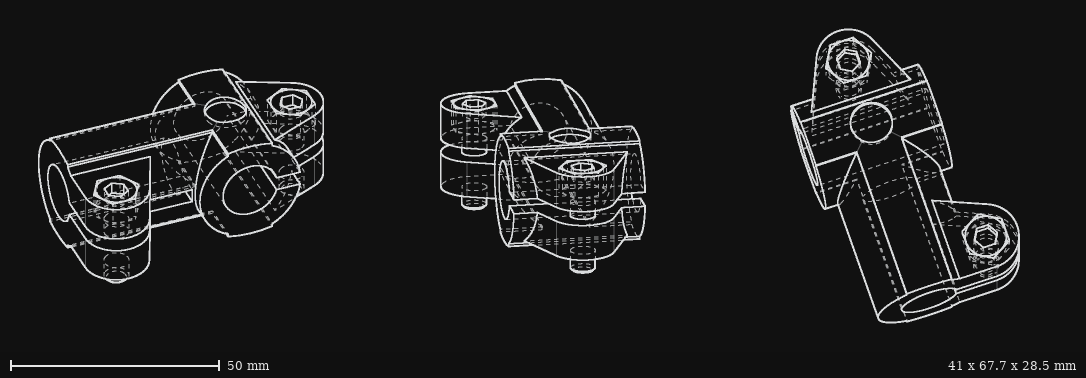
import cadquery as cq
import math

tube_radius = 13.0
bore_diameter = 14.0
cross_length = 32.0
stem_end = 43.0
stem_bore_floor = 13.75

crown_half_width = 5.7
crown_edge_height = 12.4

cross_lug_radius = 7.7
stem_lug_radius = 8.0
lug_reach = 17.0
lug_half_height = 10.5
slot_width = 3.5
cross_lug_base = cross_length / 2
stem_lug_base = 15.8

screw_diameter = 6.0
screw_tip_z = -15.5
screw_tip_chamfer = 0.6
head_diameter = 9.9
head_height = 6.0
pocket_across_flats = 10.0
socket_across_flats = 5.0
socket_depth = 3.0
pocket_turn = 0
socket_turn = 30

recess_diameter = 10.0
recess_floor_z = 11.45


def tube(plane, length):
    """Solid tube blank with crowns, extruded along the plane's normal."""
    barrel = cq.Workplane(plane).circle(tube_radius).extrude(length)
    crown = (
        cq.Workplane(plane)
        .moveTo(-crown_half_width, -crown_edge_height)
        .lineTo(-crown_half_width, crown_edge_height)
        .threePointArc((0, tube_radius), (crown_half_width, crown_edge_height))
        .lineTo(crown_half_width, -crown_edge_height)
        .threePointArc((0, -tube_radius), (-crown_half_width, -crown_edge_height))
        .close()
        .extrude(length)
    )
    return barrel.union(crown)


def tangent_point(base, radius):
    """Where a line from (base, 0) touches the right-hand side of the lug's round end."""
    distance = math.hypot(base, lug_reach)
    angle = math.acos(radius / distance) - math.atan2(lug_reach, base)
    return radius * math.cos(angle), lug_reach + radius * math.sin(angle)


def lug(left_base, right_base, radius):
    """Lug pointing along +Y, with straight sides tangent to its round end."""
    left_x, left_y = tangent_point(left_base, radius)
    return (
        cq.Workplane("XY")
        .workplane(offset=-lug_half_height)
        .moveTo(-left_base, 0)
        .lineTo(right_base, 0)
        .lineTo(*tangent_point(right_base, radius))
        .threePointArc((0, lug_reach + radius), (-left_x, left_y))
        .close()
        .extrude(2 * lug_half_height)
    )


def hex_prism(across_flats, depth, turn):
    """Hexagonal prism on the screw axis, reaching down from the top of the lug."""
    across_corners = across_flats / math.cos(math.pi / 6)
    return (
        cq.Workplane("XY")
        .polygon(6, across_corners)
        .extrude(-depth)
        .rotate((0, 0, 0), (0, 0, 1), turn)
        .translate((0, lug_reach, lug_half_height))
    )


def screw():
    """Socket-head screw with its head flush with the top of the lug."""
    shank = (
        cq.Workplane("XY", origin=(0, lug_reach, screw_tip_z))
        .circle(screw_diameter / 2)
        .extrude(lug_half_height - screw_tip_z)
        .faces("<Z")
        .chamfer(screw_tip_chamfer)
    )
    head = (
        cq.Workplane("XY", origin=(0, lug_reach, lug_half_height))
        .circle(head_diameter / 2)
        .extrude(-head_height)
    )
    return shank.union(head).cut(hex_prism(socket_across_flats, socket_depth, socket_turn))


def slot(length):
    """Slot from the tube axis out through the lug along +Y, centred on X = 0."""
    depth = lug_reach + stem_lug_radius
    return cq.Workplane("XY").box(length, depth, slot_width, centered=(True, False, True))


def place_on_stem(solid):
    """Turn a solid made along +Y to point along +X, level with the stem's screw."""
    return solid.rotate((0, 0, 0), (0, 0, 1), -90).translate((0, stem_lug_radius - stem_end, 0))


cross_plane = cq.Plane(origin=(-cross_length / 2, 0, 0), xDir=(0, 1, 0), normal=(1, 0, 0))
stem_plane = cq.Plane(origin=(0, 0, 0), xDir=(1, 0, 0), normal=(0, -1, 0))
body = tube(cross_plane, cross_length).union(tube(stem_plane, stem_end))
body = body.union(lug(cross_lug_base, cross_lug_base, cross_lug_radius))
body = body.union(place_on_stem(lug(stem_lug_base, stem_lug_radius, stem_lug_radius)))

cross_bore = cq.Workplane(cross_plane).circle(bore_diameter / 2).extrude(cross_length)
stem_bore_depth = stem_end - stem_bore_floor
stem_bore = (
    cq.Workplane("XZ", origin=(0, -stem_bore_floor, 0))
    .circle(bore_diameter / 2)
    .extrude(stem_bore_depth)
)
body = body.cut(cross_bore).cut(stem_bore)

stem_slot_middle = (stem_end + stem_bore_floor) / 2
stem_slot = slot(stem_bore_depth).rotate((0, 0, 0), (0, 0, 1), -90)
body = body.cut(slot(cross_length)).cut(stem_slot.translate((0, -stem_slot_middle, 0)))

recess = (
    cq.Workplane("XY", origin=(0, 0, recess_floor_z))
    .circle(recess_diameter / 2)
    .extrude(tube_radius)
)
body = body.cut(recess)

pocket = hex_prism(pocket_across_flats, head_height, pocket_turn)
body = body.cut(pocket).cut(place_on_stem(pocket))
result = body.union(screw()).union(place_on_stem(screw()))